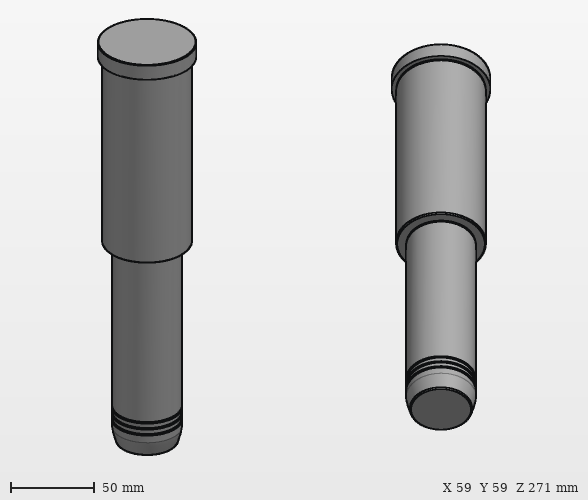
import cadquery as cq

length = 271.0

head_radius = 29.5
head_height = 10.0
head_chamfer = 0.5

relief_width = 1.0
relief_depth = 0.3

body_diameter = 54.0
body_radius = body_diameter / 2
body_bottom = 135.0
body_chamfer = 0.8

pin_diameter = 42.0
pin_radius = pin_diameter / 2

nose_height = 10.3
nose_end_radius = 18.7
nose_bulge = 0.3
end_chamfer = 0.8

groove_count = 3
groove_pitch = 4.0
groove_width = 1.0
groove_depth = 0.3
lowest_groove_z = 15.5


def cylinder(radius, bottom, top):
    return cq.Workplane("XY").workplane(offset=bottom).circle(radius).extrude(top - bottom)


def ring_groove(outer_radius, depth, center_z, width):
    """Ring to cut from a cylinder of the given radius."""
    bottom = center_z - width / 2
    top = center_z + width / 2
    return cylinder(outer_radius, bottom, top).cut(cylinder(outer_radius - depth, bottom, top))


def make_head():
    head = cylinder(head_radius, length - head_height, length)
    return head.faces(">Z").edges().chamfer(head_chamfer)


def make_body():
    head_bottom = length - head_height
    body = cylinder(body_radius, body_bottom, head_bottom)
    body = body.faces("<Z").edges().chamfer(body_chamfer)
    relief_center = head_bottom - relief_width / 2
    return body.cut(ring_groove(body_radius, relief_depth, relief_center, relief_width))


def make_pin():
    arc_mid_radius = (pin_radius + nose_end_radius) / 2 + nose_bulge
    arc_mid_z = (nose_height + end_chamfer) / 2
    pin = (
        cq.Workplane("XZ")
        .moveTo(0, 0)
        .lineTo(nose_end_radius - end_chamfer, 0)
        .lineTo(nose_end_radius, end_chamfer)
        .threePointArc((arc_mid_radius, arc_mid_z), (pin_radius, nose_height))
        .lineTo(pin_radius, body_bottom)
        .lineTo(0, body_bottom)
        .close()
        .revolve(360, (0, 0), (0, 1))
    )
    for index in range(groove_count):
        groove_z = lowest_groove_z + index * groove_pitch
        pin = pin.cut(ring_groove(pin_radius, groove_depth, groove_z, groove_width))
    relief_center = body_bottom - relief_width / 2
    return pin.cut(ring_groove(pin_radius, relief_depth, relief_center, relief_width))


result = make_head().union(make_body()).union(make_pin())